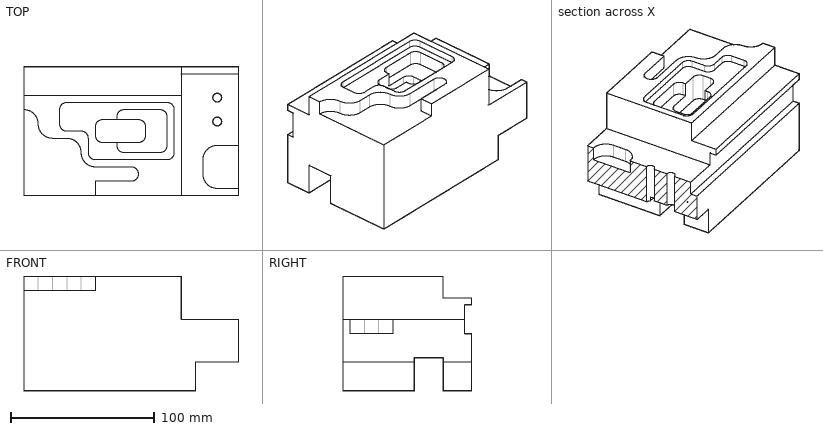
import cadquery as cq
import math

LENGTH = 150.0
WIDTH = 90.0
HEIGHT = 80.0

UPPER_END_X = 110.0
LOWER_END_X = 120.0
TONGUE_TOP_Z = 50.0
TONGUE_BOTTOM_Z = 20.0

SHELF_WIDTH = 20.0
SHELF_Y = WIDTH - SHELF_WIDTH
SHELF_Z = 65.0
GROOVE_DEPTH = 5.0
GROOVE_FLOOR_Y = WIDTH - GROOVE_DEPTH
GROOVE_BOTTOM_Z = 40.0
GROOVE_TOP_Z = 60.0

SLOT_WIDTH = 20.0
SLOT_Y = SHELF_Y - SLOT_WIDTH
SLOT_HEIGHT = 23.0

LEDGE_DEPTH = 10.0
WAVE_RADIUS = 10.0
WAVE_START_Y = 60.0
WAVE_FLAT = 10.0
FINGER_END_X = 75.0
FINGER_RADIUS = 5.0

POCKET_CORNER_RADIUS = 5.0
LAND = 5.0
POCKET_STEP = 10.0
OUTER_X = 25.0
OUTER_LENGTH = UPPER_END_X - LAND - OUTER_X
OUTER_Y = 25.0
OUTER_WIDTH = SHELF_Y - LAND - OUTER_Y
OUTER_DEPTH = 5.0
OUTER_NOTCH = 20.0
OUTER_FLOOR_Z = HEIGHT - OUTER_DEPTH
INNER_LENGTH = 35.0
INNER_WIDTH = OUTER_WIDTH - 2 * LAND
INNER_X = OUTER_X + OUTER_LENGTH - LAND - INNER_LENGTH
INNER_Y = OUTER_Y + LAND
INNER_FLOOR_Z = OUTER_FLOOR_Z - POCKET_STEP
DEEP_LENGTH = 35.0
DEEP_WIDTH = 16.0
DEEP_X = OUTER_X + OUTER_NOTCH + LAND
DEEP_Y = OUTER_Y + (OUTER_WIDTH - DEEP_WIDTH) / 2
DEEP_FLOOR_Z = INNER_FLOOR_Z - POCKET_STEP

TONGUE_POCKET_LENGTH = 25.0
TONGUE_POCKET_X = LENGTH - TONGUE_POCKET_LENGTH
TONGUE_POCKET_Y = 5.0
TONGUE_POCKET_WIDTH = 30.0
TONGUE_POCKET_DEPTH = 10.0
TONGUE_POCKET_RADIUS = 10.0

HOLE_COUNT = 2
HOLE_DIAMETER = 6.0
HOLE_X = (LENGTH + LOWER_END_X) / 2
HOLE_ZONE_Y = TONGUE_POCKET_Y + TONGUE_POCKET_WIDTH
HOLE_PITCH = (GROOVE_FLOOR_Y - HOLE_ZONE_Y) / (HOLE_COUNT + 1)


def box(x, y, z, length, width, height):
    """Box with its lowest corner at (x, y, z)."""
    return cq.Workplane("XY").box(length, width, height, centered=False).translate((x, y, z))


def body():
    """Side profile with the tongue, extruded across the full width."""
    return (
        cq.Workplane("XZ")
        .moveTo(0, 0)
        .lineTo(LOWER_END_X, 0)
        .lineTo(LOWER_END_X, TONGUE_BOTTOM_Z)
        .lineTo(LENGTH, TONGUE_BOTTOM_Z)
        .lineTo(LENGTH, TONGUE_TOP_Z)
        .lineTo(UPPER_END_X, TONGUE_TOP_Z)
        .lineTo(UPPER_END_X, HEIGHT)
        .lineTo(0, HEIGHT)
        .close()
        .extrude(-WIDTH)
    )


def lengthwise_cuts():
    """Back shelf, back groove and underside slot, all running the full length."""
    shelf = box(0, SHELF_Y, SHELF_Z, LENGTH, SHELF_WIDTH, HEIGHT - SHELF_Z)
    groove = box(0, GROOVE_FLOOR_Y, GROOVE_BOTTOM_Z, LENGTH, GROOVE_DEPTH, GROOVE_TOP_Z - GROOVE_BOTTOM_Z)
    slot = box(0, SLOT_Y, 0, LENGTH, SLOT_WIDTH, SLOT_HEIGHT)
    return shelf.union(groove).union(slot)


def s_bend(outline, x, y):
    """Append two quarter arcs that fall from (x, y) to two radii right and two radii down."""
    diagonal = WAVE_RADIUS * math.sqrt(0.5)
    crest = (x + diagonal, y - WAVE_RADIUS + diagonal)
    middle = (x + WAVE_RADIUS, y - WAVE_RADIUS)
    trough = (x + 2 * WAVE_RADIUS - diagonal, y - WAVE_RADIUS - diagonal)
    end = (x + 2 * WAVE_RADIUS, y - 2 * WAVE_RADIUS)
    return outline.threePointArc(crest, middle).threePointArc(trough, end)


def wavy_ledge():
    """Corner cut bounded by two S-bends and a round-ended finger."""
    second_bend_x = 2 * WAVE_RADIUS + WAVE_FLAT
    second_bend_y = WAVE_START_Y - 2 * WAVE_RADIUS
    finger_x = second_bend_x + 2 * WAVE_RADIUS
    finger_top_y = second_bend_y - 2 * WAVE_RADIUS
    finger_bottom_y = finger_top_y - 2 * FINGER_RADIUS
    finger_tip = (FINGER_END_X + FINGER_RADIUS, finger_top_y - FINGER_RADIUS)

    outline = cq.Workplane("XY").moveTo(0, 0).lineTo(0, WAVE_START_Y)
    outline = s_bend(outline, 0, WAVE_START_Y)
    outline = outline.lineTo(second_bend_x, second_bend_y)
    outline = s_bend(outline, second_bend_x, second_bend_y)
    outline = (
        outline.lineTo(FINGER_END_X, finger_top_y)
        .threePointArc(finger_tip, (FINGER_END_X, finger_bottom_y))
        .lineTo(finger_x, finger_bottom_y)
        .lineTo(finger_x, 0)
        .close()
    )
    return outline.extrude(LEDGE_DEPTH).translate((0, 0, HEIGHT - LEDGE_DEPTH))


def nested_pockets():
    """Notched shallow pocket with a deeper pocket and a deepest pocket in its floor."""
    outer = box(OUTER_X, OUTER_Y, OUTER_FLOOR_Z, OUTER_LENGTH, OUTER_WIDTH, HEIGHT - OUTER_FLOOR_Z)
    notch = box(OUTER_X, OUTER_Y, OUTER_FLOOR_Z, OUTER_NOTCH, OUTER_NOTCH, HEIGHT - OUTER_FLOOR_Z)
    inner = box(INNER_X, INNER_Y, INNER_FLOOR_Z, INNER_LENGTH, INNER_WIDTH, HEIGHT - INNER_FLOOR_Z)
    deep = box(DEEP_X, DEEP_Y, DEEP_FLOOR_Z, DEEP_LENGTH, DEEP_WIDTH, HEIGHT - DEEP_FLOOR_Z)
    outer = outer.cut(notch).edges("|Z").fillet(POCKET_CORNER_RADIUS)
    inner = inner.edges("|Z").fillet(POCKET_CORNER_RADIUS)
    deep = deep.edges("|Z").fillet(POCKET_CORNER_RADIUS)
    return outer.union(inner).union(deep)


def tongue_pocket():
    """Pocket in the tongue top with two rounded corners."""
    floor_z = TONGUE_TOP_Z - TONGUE_POCKET_DEPTH
    pocket = box(
        TONGUE_POCKET_X,
        TONGUE_POCKET_Y,
        floor_z,
        TONGUE_POCKET_LENGTH,
        TONGUE_POCKET_WIDTH,
        TONGUE_POCKET_DEPTH,
    )
    return pocket.edges("|Z and <X").fillet(TONGUE_POCKET_RADIUS)


def tongue_holes():
    """Row of holes running vertically through the tongue."""
    centres = [(HOLE_X, HOLE_ZONE_Y + (i + 1) * HOLE_PITCH) for i in range(HOLE_COUNT)]
    return cq.Workplane("XY").pushPoints(centres).circle(HOLE_DIAMETER / 2).extrude(HEIGHT)


result = (
    body()
    .cut(lengthwise_cuts())
    .cut(wavy_ledge())
    .cut(nested_pockets())
    .cut(tongue_pocket())
    .cut(tongue_holes())
)